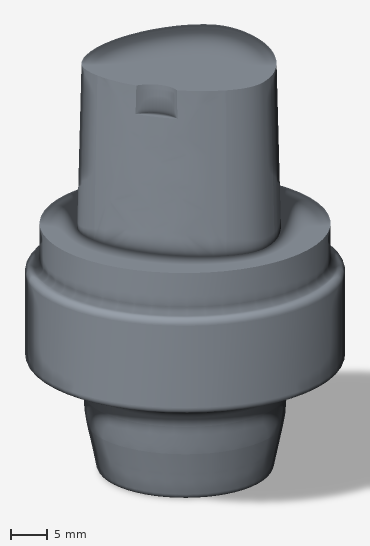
import cadquery as cq
import math

SHANK_LENGTH = 24.0
PILOT_COLLAR_LENGTH = 5.0
FLANGE_BOTTOM_Z = -19.0
NOSE_ARC_START_Z = -24.7
NOSE_BOTTOM_Z = -36.0

COLLAR_RADIUS = 20.0
FLANGE_RADIUS = 22.0
NECK_RADIUS = 14.0
EDGE_RADIUS = 1.0
CONE_ANGLE = math.radians(20.0)
NOSE_ARC_RADIUS = 20.0
NOSE_ANGLE = math.radians(12.0)

POLYGON_DIAMETER = 28.0
POLYGON_ECCENTRICITY = 1.0
SHANK_TAPER = 1.0 / 20.0
FACE_COUNT = 6
SPANS_PER_FACE = 8

NOTCH_RADIUS = 4.0
NOTCH_DEPTH = 4.15
NOTCH_INNER_Y = -10.9


def turned_body():
    """Collar, flange, cone, neck and rounded nose, revolved about Z."""
    step_radius = COLLAR_RADIUS + EDGE_RADIUS
    step_z = -PILOT_COLLAR_LENGTH - EDGE_RADIUS
    diagonal = EDGE_RADIUS * math.sqrt(0.5)

    roll_sin = math.cos(CONE_ANGLE)
    roll_cos = math.sin(CONE_ANGLE)
    half_roll = (math.pi / 2 - CONE_ANGLE) / 2
    roll_center_r = FLANGE_RADIUS - EDGE_RADIUS
    cone_top = (roll_center_r + EDGE_RADIUS * roll_cos, FLANGE_BOTTOM_Z - EDGE_RADIUS * roll_sin)
    roll_mid = (
        roll_center_r + EDGE_RADIUS * math.cos(half_roll),
        FLANGE_BOTTOM_Z - EDGE_RADIUS * math.sin(half_roll),
    )
    neck_center_r = NECK_RADIUS + EDGE_RADIUS
    cone_bottom_r = neck_center_r - EDGE_RADIUS * roll_cos
    cone_bottom_z = cone_top[1] - (cone_top[0] - cone_bottom_r) * math.tan(CONE_ANGLE)
    neck_center_z = cone_bottom_z - EDGE_RADIUS * roll_sin
    neck_mid = (
        neck_center_r - EDGE_RADIUS * math.cos(half_roll),
        neck_center_z + EDGE_RADIUS * math.sin(half_roll),
    )

    nose_center_r = NECK_RADIUS - NOSE_ARC_RADIUS
    nose_mid = (
        nose_center_r + NOSE_ARC_RADIUS * math.cos(NOSE_ANGLE / 2),
        NOSE_ARC_START_Z - NOSE_ARC_RADIUS * math.sin(NOSE_ANGLE / 2),
    )
    taper_top = (
        nose_center_r + NOSE_ARC_RADIUS * math.cos(NOSE_ANGLE),
        NOSE_ARC_START_Z - NOSE_ARC_RADIUS * math.sin(NOSE_ANGLE),
    )
    nose_bottom_radius = taper_top[0] - (taper_top[1] - NOSE_BOTTOM_Z) * math.tan(NOSE_ANGLE)

    body = (
        cq.Workplane("XZ")
        .lineTo(COLLAR_RADIUS, 0)
        .lineTo(COLLAR_RADIUS, -PILOT_COLLAR_LENGTH)
        .threePointArc((step_radius - diagonal, step_z + EDGE_RADIUS - diagonal), (step_radius, step_z))
        .threePointArc(
            (step_radius + diagonal, step_z - EDGE_RADIUS + diagonal),
            (FLANGE_RADIUS, step_z - EDGE_RADIUS),
        )
        .lineTo(FLANGE_RADIUS, FLANGE_BOTTOM_Z)
        .threePointArc(roll_mid, cone_top)
        .lineTo(cone_bottom_r, cone_bottom_z)
        .threePointArc(neck_mid, (NECK_RADIUS, neck_center_z))
        .lineTo(NECK_RADIUS, NOSE_ARC_START_Z)
        .threePointArc(nose_mid, taper_top)
        .lineTo(nose_bottom_radius, NOSE_BOTTOM_Z)
        .lineTo(0, NOSE_BOTTOM_Z)
        .close()
        .revolve(360, (0, 0, 0), (0, 1, 0))
    )
    return body.faces("<Z").edges().fillet(EDGE_RADIUS)


def polygon_point(diameter, normal_angle, z):
    """Point of a three-lobed constant-width curve whose outward normal has the given angle from +Y."""
    support = diameter / 2 + POLYGON_ECCENTRICITY * math.cos(3 * normal_angle)
    slope = -3 * POLYGON_ECCENTRICITY * math.sin(3 * normal_angle)
    x = support * math.sin(normal_angle) + slope * math.cos(normal_angle)
    y = support * math.cos(normal_angle) - slope * math.sin(normal_angle)
    return cq.Vector(x, y, z)


def polygon_wire(diameter, z):
    """Closed outline of six curves: three lobes alternating with three flanks."""
    face_angle = 2 * math.pi / FACE_COUNT
    curves = []
    for face in range(FACE_COUNT):
        start = (face - 0.5) * face_angle
        angles = [start + face_angle * i / SPANS_PER_FACE for i in range(SPANS_PER_FACE + 1)]
        points = [polygon_point(diameter, angle, z) for angle in angles]
        tangents = [cq.Vector(math.cos(a), -math.sin(a), 0) for a in (angles[0], angles[-1])]
        curves.append(cq.Edge.makeSpline(points, tangents=tangents))
    return cq.Wire.assembleEdges(curves)


def polygon_shank():
    """Shank that narrows evenly from the flange face to its tip."""
    tip_diameter = POLYGON_DIAMETER - SHANK_LENGTH * SHANK_TAPER
    base = polygon_wire(POLYGON_DIAMETER, 0)
    tip = polygon_wire(tip_diameter, SHANK_LENGTH)
    return cq.Workplane(cq.Solid.makeLoft([base, tip], True))


def tip_notch():
    """Round cutter for the notch in the -Y flank at the shank tip."""
    return (
        cq.Workplane("XY")
        .workplane(offset=SHANK_LENGTH - NOTCH_DEPTH)
        .center(0, NOTCH_INNER_Y - NOTCH_RADIUS)
        .circle(NOTCH_RADIUS)
        .extrude(NOTCH_DEPTH)
    )


result = turned_body().union(polygon_shank()).cut(tip_notch())